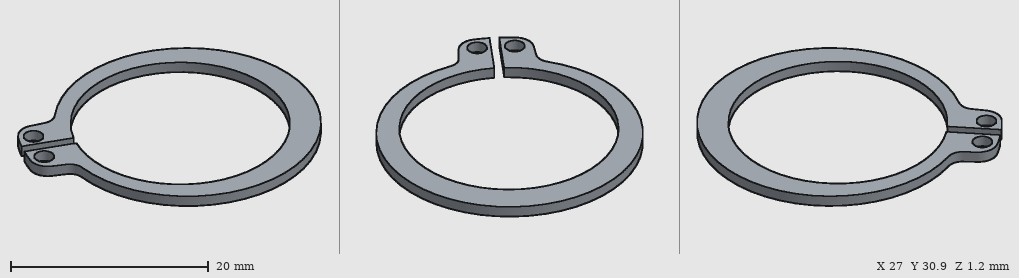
import cadquery as cq
import math

thickness = 1.2
outer_diameter = 27.0
bore_diameter = 22.17
overall_length = 30.85
band_offset = 0.77
gap_width = 1.0

lug_half_width = 3.95
lug_root_y = -12.95
lug_side_angle = 4.0
lug_corner_radius = 1.95
lug_root_fillet = 1.55
hole_diameter = 2.0
hole_spacing = 3.82
hole_y = -14.9
match_tolerance = 0.003

outer_radius = outer_diameter / 2
lug_tip_y = band_offset + outer_radius - overall_length
lug_tip_radius = math.hypot(gap_width / 2, lug_tip_y)


def disc(radius, center_y=0):
    return cq.Workplane("XY").center(0, center_y).circle(radius).extrude(thickness)


def lug_blank():
    """Both lugs as one tapered block with a rounded tip."""
    lean = math.tan(math.radians(lug_side_angle))
    top_half_width = lug_half_width - lug_root_y * lean
    bottom_y = -lug_tip_radius
    bottom_half_width = lug_half_width + (bottom_y - lug_root_y) * lean
    block = (
        cq.Workplane("XY")
        .polyline([
            (-top_half_width, 0),
            (top_half_width, 0),
            (bottom_half_width, bottom_y),
            (-bottom_half_width, bottom_y),
        ])
        .close()
        .extrude(thickness)
    )
    return block.intersect(disc(lug_tip_radius))


lugs = lug_blank().edges("|Z").edges("<Y").fillet(lug_corner_radius)
blank = disc(outer_radius, band_offset).union(lugs)


def is_lug_root(edge):
    """True for the upright edges where the lug sides meet the band."""
    center = edge.Center()
    from_band_center = math.hypot(center.x, center.y - band_offset)
    on_band = abs(from_band_center - outer_radius) < match_tolerance
    return on_band and center.y < 0


root_edges = [edge for edge in blank.edges("|Z").vals() if is_lug_root(edge)]
blank = blank.newObject(root_edges).fillet(lug_root_fillet)

gap = (
    cq.Workplane("XY")
    .center(0, -overall_length / 2)
    .rect(gap_width, overall_length)
    .extrude(thickness)
)
pliers_holes = (
    cq.Workplane("XY")
    .pushPoints([(side * hole_spacing / 2, hole_y) for side in (-1, 1)])
    .circle(hole_diameter / 2)
    .extrude(thickness)
)
result = blank.cut(disc(bore_diameter / 2)).cut(gap).cut(pliers_holes)